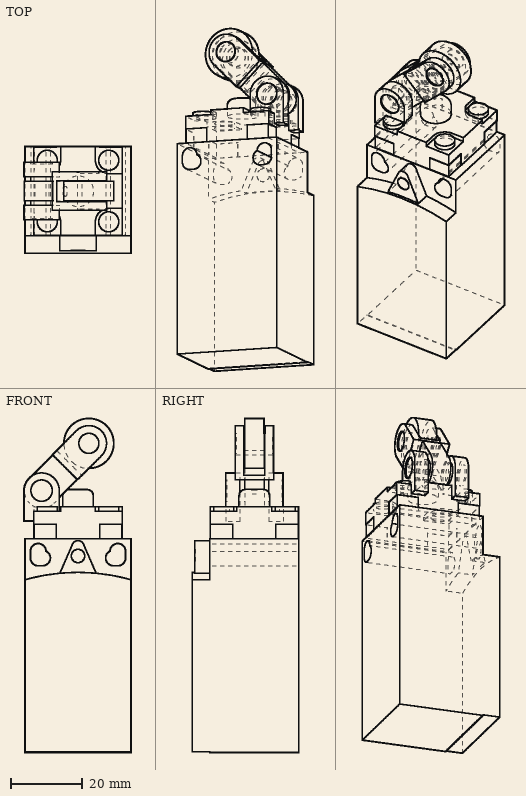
import cadquery as cq
import math


overall_height = 93.7

housing_width = 29.8
housing_depth = 25.0
housing_height = 60.0
housing_front = -housing_depth / 2

cover_thickness = 5.0
cover_bottom = 0.2
cover_side_height = 48.4
cover_apex_height = 50.5

latch_thickness = 4.2
latch_half_base = 5.3
latch_base_height = 49.7
latch_top = 59.4
latch_tip_radius = 1.7
latch_pin_radius = 1.9
latch_pin_z = 55.1
latch_pin_recess = 0.1

mount_slot_radius = 2.2
mount_slot_x = 11.15
mount_slot_z = 54.5
mount_slot_rise = 1.9
mount_slot_run = 1.2

head_size = 24.8
head_top = 69.0
screw_pocket_floor = 67.65
screw_offset = 8.6
screw_radius = 2.8
screw_pocket_radius = 3.75
foot_relief_top = 64.0
foot_relief_size = 6.4
foot_relief_depth = 0.1

plunger_radius = 4.3
plunger_top = 73.7
plunger_rounding = 1.8

pivot_x = -10.2
lever_angle = 45
lever_length = 18.7
lever_radius = 5.0
arm_radius = 4.9
arm_width = 5.4
fork_start = 9.3
fork_width = 10.8
fork_slot_start = 11.0
fork_slot_width = 5.9

lug_outer_width = 16.1
lug_gap = 8.1
lug_bottom = 64.8

roller_radius = 7.0
roller_width = 5.4
pivot_pin_radius = 3.0
roller_pin_radius = 2.8
pin_recess = 0.4
roller_z = overall_height - roller_radius
pivot_z = roller_z - lever_length * math.sin(math.radians(lever_angle))


def box(width, depth, bottom, top, x=0, y=0):
    """Upright box centred on (x, y)."""
    return cq.Workplane("XY", origin=(x, y, bottom)).rect(width, depth).extrude(top - bottom)


def upright_cylinder(radius, bottom, top, x=0, y=0):
    return cq.Workplane("XY", origin=(x, y, bottom)).circle(radius).extrude(top - bottom)


def side_plane(y=0):
    """Sketch plane with local axes along +X and +Z; extrusion runs toward -Y."""
    return cq.Workplane("XZ", origin=(0, y, 0))


def cross_cylinder(x, z, radius, width):
    """Cylinder along Y, centred on Y = 0."""
    return side_plane().center(x, z).circle(radius).extrude(width / 2, both=True)


def make_cover():
    half_width = housing_width / 2
    return (
        side_plane(housing_front)
        .moveTo(-half_width, cover_bottom)
        .lineTo(half_width, cover_bottom)
        .lineTo(half_width, cover_side_height)
        .threePointArc((0, cover_apex_height), (-half_width, cover_side_height))
        .close()
        .extrude(cover_thickness)
    )


def make_latch():
    tip_z = latch_top - latch_tip_radius
    rise = tip_z - latch_base_height
    corner_to_tip = math.hypot(latch_half_base, rise)
    flank_slope = math.atan2(rise, latch_half_base) + math.asin(latch_tip_radius / corner_to_tip)
    tangent_x = latch_tip_radius * math.sin(flank_slope)
    tangent_z = tip_z + latch_tip_radius * math.cos(flank_slope)
    latch = (
        side_plane(housing_front)
        .moveTo(-latch_half_base, latch_base_height)
        .lineTo(latch_half_base, latch_base_height)
        .lineTo(tangent_x, tangent_z)
        .threePointArc((0, latch_top), (-tangent_x, tangent_z))
        .close()
        .extrude(latch_thickness)
    )
    pin_face = side_plane(housing_front - latch_thickness + latch_pin_recess)
    pin_bore = pin_face.center(0, latch_pin_z).circle(latch_pin_radius).extrude(latch_pin_recess)
    return latch.cut(pin_bore)


def make_mount_hole(side):
    """L-shaped through hole; side is -1 or 1 for the sign of X."""
    width = 2 * mount_slot_radius
    upright_slot = (
        side_plane()
        .center(side * mount_slot_x, mount_slot_z + mount_slot_rise / 2)
        .slot2D(mount_slot_rise + width, width, 90)
        .extrude(housing_depth / 2, both=True)
    )
    sideways_slot = (
        side_plane()
        .center(side * (mount_slot_x - mount_slot_run / 2), mount_slot_z)
        .slot2D(mount_slot_run + width, width)
        .extrude(housing_depth / 2, both=True)
    )
    return upright_slot.union(sideways_slot)


def make_screw_pocket(side_x, side_y):
    """Corner pocket whose inner corner is rounded concentrically with the screw."""
    half_size = head_size / 2
    pocket_inner = screw_offset - screw_pocket_radius
    pocket_size = half_size - pocket_inner
    pocket_middle = (half_size + pocket_inner) / 2
    pocket = box(
        pocket_size, pocket_size, screw_pocket_floor, head_top,
        side_x * pocket_middle, side_y * pocket_middle,
    )
    inner_x = "<X" if side_x > 0 else ">X"
    inner_y = "<Y" if side_y > 0 else ">Y"
    return pocket.edges(f"|Z and {inner_x} and {inner_y}").fillet(screw_pocket_radius)


def make_foot_relief(side_x, side_y):
    """Thin L-shaped layer removed from the two outer faces at a foot of the head."""
    outer_middle = (head_size - foot_relief_size) / 2
    kept_middle = outer_middle - foot_relief_depth
    outer, kept = [
        box(
            foot_relief_size, foot_relief_size, housing_height, foot_relief_top,
            side_x * middle, side_y * middle,
        )
        for middle in (outer_middle, kept_middle)
    ]
    return outer.cut(kept)


def make_head():
    head = box(head_size, head_size, housing_height, head_top)
    for side_x in (-1, 1):
        for side_y in (-1, 1):
            screw = upright_cylinder(
                screw_radius, screw_pocket_floor, head_top, side_x * screw_offset, side_y * screw_offset
            )
            head = head.cut(make_screw_pocket(side_x, side_y))
            head = head.cut(make_foot_relief(side_x, side_y))
            head = head.union(screw)
    return head


def make_plunger():
    plunger = upright_cylinder(plunger_radius, housing_height, plunger_top)
    return plunger.faces(">Z").edges().fillet(plunger_rounding)


def make_lugs():
    width = 2 * lever_radius
    profile = (
        side_plane()
        .moveTo(pivot_x - lever_radius, lug_bottom)
        .lineTo(pivot_x + lever_radius, lug_bottom)
        .lineTo(pivot_x + lever_radius, pivot_z)
        .threePointArc((pivot_x, pivot_z + lever_radius), (pivot_x - lever_radius, pivot_z))
        .close()
    )
    lugs = profile.extrude(lug_outer_width / 2, both=True)
    gap = box(width, lug_gap, lug_bottom, pivot_z + lever_radius, pivot_x)
    pin_bore = cross_cylinder(pivot_x, pivot_z, pivot_pin_radius, lug_outer_width)
    pin = cross_cylinder(pivot_x, pivot_z, pivot_pin_radius, lug_outer_width - 2 * pin_recess)
    return lugs.cut(gap).cut(pin_bore).union(pin)


def lever_block(start, end, width, half_height):
    """Rectangular length of the untilted lever, from start to end along +X."""
    length = end - start
    return cq.Workplane("XY").box(length, width, 2 * half_height).translate((start + length / 2, 0, 0))


def make_lever():
    """Lever built lying along +X from the pivot, then tilted and moved into place."""
    arm = cross_cylinder(0, 0, arm_radius, arm_width)
    arm = arm.union(lever_block(0, fork_start, arm_width, arm_radius))

    fork = cross_cylinder(lever_length, 0, lever_radius, fork_width)
    fork = fork.union(lever_block(fork_start, lever_length, fork_width, lever_radius))
    slot = lever_block(fork_slot_start, lever_length + lever_radius, fork_slot_width, lever_radius)
    pin_bore = cross_cylinder(lever_length, 0, roller_pin_radius, fork_width)
    fork = fork.cut(slot).cut(pin_bore)

    pin = cross_cylinder(lever_length, 0, roller_pin_radius, fork_width - 2 * pin_recess)
    roller = cross_cylinder(lever_length, 0, roller_radius, roller_width)
    lever = arm.union(fork).union(pin).union(roller)
    return lever.rotate((0, 0, 0), (0, 1, 0), -lever_angle).translate((pivot_x, 0, pivot_z))


housing = box(housing_width, housing_depth, 0, housing_height)
for side in (-1, 1):
    housing = housing.cut(make_mount_hole(side))

result = (
    housing.union(make_cover())
    .union(make_latch())
    .union(make_head())
    .union(make_plunger())
    .union(make_lugs())
    .union(make_lever())
)